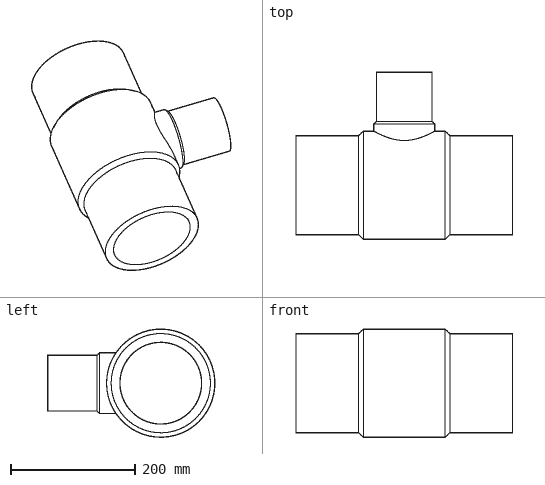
import cadquery as cq

run_length = 349.0
run_diameter = 160.0
run_bore = 131.2

body_diameter = 174.5
body_length = 146.5
body_bevel = (body_diameter - run_diameter) / 2

branch_reach = 269.5 - body_diameter / 2
branch_diameter = 90.0
branch_bore = branch_diameter * run_bore / run_diameter

collar_diameter = 98.5
collar_reach = 102.5
collar_bevel = (collar_diameter - branch_diameter) / 2


def run_cylinder(diameter, length):
    """Cylinder along X, centred on the origin."""
    return cq.Workplane("YZ").circle(diameter / 2).extrude(length / 2, both=True)


def branch_cylinder(diameter, reach):
    """Cylinder along +Y, starting on the main axis."""
    return cq.Workplane("XZ").circle(diameter / 2).extrude(-reach)


run = run_cylinder(run_diameter, run_length)
body = run_cylinder(body_diameter, body_length).edges().chamfer(body_bevel)
branch = branch_cylinder(branch_diameter, branch_reach)
collar = branch_cylinder(collar_diameter, collar_reach).faces(">Y").chamfer(collar_bevel)
outside = run.union(body).union(collar).union(branch)

run_passage = run_cylinder(run_bore, run_length)
branch_passage = branch_cylinder(branch_bore, branch_reach)

result = outside.cut(run_passage).cut(branch_passage)